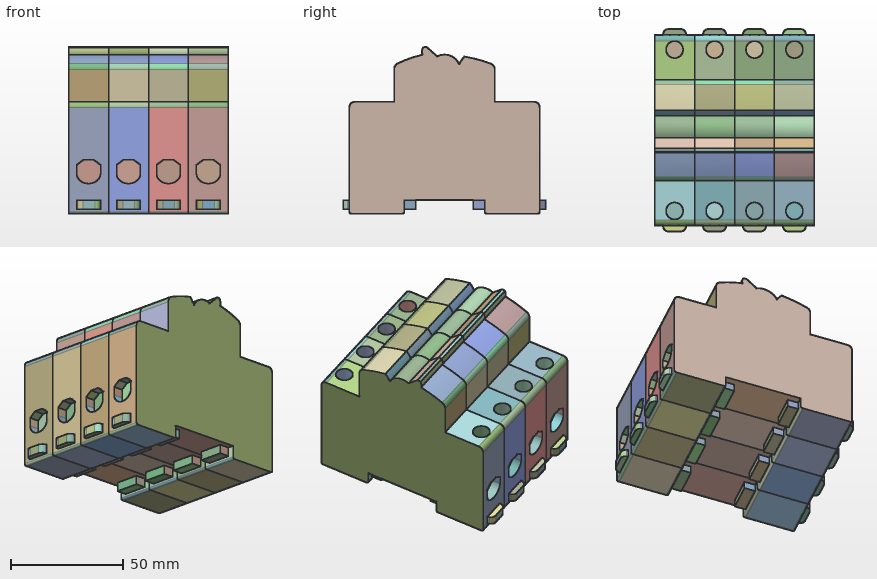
import cadquery as cq

MODULE_COUNT = 4
MODULE_PITCH = 17.8

BASE_LENGTH = 84.9
BASE_HEIGHT = 49.95
SHOULDER_RADIUS = 2.5
FOOT_RADIUS = 1.0
RAIL_SLOT_LENGTH = 35.7
RAIL_SLOT_DEPTH = 6.05

HEAD_HALF_LENGTH = 22.5
HEAD_CORNER_Z = 66.2
HEAD_RADIUS = 3.0
REAR_CROWN_MID = (15.7, 68.55)
NOTCH_CREST = (8.85, 70.1)
NOTCH_FLANK_MID = (7.5, 68.4)
NOTCH_ROOT = (6.5, 66.7)
DIAL_MID = (3.4, 70.1)
LEVER_ROOT = (-3.25, 70.2)
LEVER_TIP = (-8.0, 74.4)
LEVER_TOP_MID = (-8.85, 74.3)
LEVER_NOSE = (-9.6, 74.1)
LEVER_FACE_MID = (-10.1, 72.2)
LEVER_HEEL = (-9.8, 70.9)
FRONT_CROWN_MID = (-15.7, 69.2)

SCREW_DIAMETER = 7.6
SCREW_Y = 35.95
SCREW_DEPTH = 9

WIRE_HALF_WIDTH = 5.3
WIRE_TOP_HALF_WIDTH = 2.2
WIRE_TOP_Z = 24.1
WIRE_CORNER_Z = 21.8
WIRE_AXIS_Z = 18.0
WIRE_BOTTOM_Z = 13.5
WIRE_DEPTH = 5.0

TOTAL_LENGTH = 90.3
TAB_BASE_HALF_WIDTH = 5.3
TAB_TIP_HALF_WIDTH = 4.5
TAB_TIP_RADIUS = 2.5
HOOK_WIDTH = 12.0
HOOK_REACH = 5.1
CLIP_BOTTOM_Z = 2.0
CLIP_HEIGHT = RAIL_SLOT_DEPTH - CLIP_BOTTOM_Z


def make_base():
    """Block with rounded shoulders and a slot underneath for the mounting rail."""
    base = cq.Workplane("XY").box(MODULE_PITCH, BASE_LENGTH, BASE_HEIGHT, centered=(True, True, False))
    slot = cq.Workplane("XY").box(
        MODULE_PITCH, RAIL_SLOT_LENGTH, RAIL_SLOT_DEPTH, centered=(True, True, False)
    )
    base = base.cut(slot)
    base = base.edges("|X and >Z").fillet(SHOULDER_RADIUS)
    return base.edges("|X and <Z").fillet(FOOT_RADIUS)


def make_head():
    """Raised head with curved crowns, a V notch, the round dial and the lever."""
    rear_corner = (HEAD_HALF_LENGTH, HEAD_CORNER_Z)
    front_corner = (-HEAD_HALF_LENGTH, HEAD_CORNER_Z)
    head = (
        cq.Workplane("YZ")
        .moveTo(HEAD_HALF_LENGTH, BASE_HEIGHT)
        .lineTo(*rear_corner)
        .threePointArc(REAR_CROWN_MID, NOTCH_CREST)
        .threePointArc(NOTCH_FLANK_MID, NOTCH_ROOT)
        .threePointArc(DIAL_MID, LEVER_ROOT)
        .lineTo(*LEVER_TIP)
        .threePointArc(LEVER_TOP_MID, LEVER_NOSE)
        .threePointArc(LEVER_FACE_MID, LEVER_HEEL)
        .threePointArc(FRONT_CROWN_MID, front_corner)
        .lineTo(-HEAD_HALF_LENGTH, BASE_HEIGHT)
        .close()
        .extrude(MODULE_PITCH / 2, both=True)
    )
    for y, z in (rear_corner, front_corner):
        head = head.edges(cq.NearestToPointSelector((0, y, z))).fillet(HEAD_RADIUS)
    return head


def make_screw_hole():
    """Cutter for the blind screw hole in the front shoulder."""
    return (
        cq.Workplane("XY", origin=(0, -SCREW_Y, BASE_HEIGHT - SCREW_DEPTH))
        .circle(SCREW_DIAMETER / 2)
        .extrude(SCREW_DEPTH)
    )


def make_wire_opening():
    """Cutter for the front wire opening: chamfered at the top, half an ellipse below."""
    opening = (
        cq.Workplane("XZ", origin=(0, -BASE_LENGTH / 2, 0))
        .moveTo(-WIRE_HALF_WIDTH, WIRE_AXIS_Z)
        .lineTo(-WIRE_HALF_WIDTH, WIRE_CORNER_Z)
        .lineTo(-WIRE_TOP_HALF_WIDTH, WIRE_TOP_Z)
        .lineTo(WIRE_TOP_HALF_WIDTH, WIRE_TOP_Z)
        .lineTo(WIRE_HALF_WIDTH, WIRE_CORNER_Z)
        .lineTo(WIRE_HALF_WIDTH, WIRE_AXIS_Z)
        .close()
        .extrude(-WIRE_DEPTH)
    )
    bottom = (
        cq.Workplane("XZ", origin=(0, -BASE_LENGTH / 2, WIRE_AXIS_Z))
        .ellipse(WIRE_HALF_WIDTH, WIRE_AXIS_Z - WIRE_BOTTOM_Z)
        .extrude(-WIRE_DEPTH)
    )
    return opening.union(bottom)


def make_tab():
    """Tapered tab with rounded corners that sticks out of the front face."""
    face_y = -BASE_LENGTH / 2
    tip_y = -TOTAL_LENGTH / 2
    return (
        cq.Workplane("XY", origin=(0, 0, CLIP_BOTTOM_Z))
        .moveTo(-TAB_BASE_HALF_WIDTH, face_y)
        .lineTo(-TAB_TIP_HALF_WIDTH, tip_y)
        .lineTo(TAB_TIP_HALF_WIDTH, tip_y)
        .lineTo(TAB_BASE_HALF_WIDTH, face_y)
        .close()
        .extrude(CLIP_HEIGHT)
        .faces("<Y")
        .edges("|Z")
        .fillet(TAB_TIP_RADIUS)
    )


def make_hook():
    """Rectangular hook that reaches from the front foot into the rail slot."""
    return cq.Workplane("XY", origin=(0, -RAIL_SLOT_LENGTH / 2, CLIP_BOTTOM_Z)).box(
        HOOK_WIDTH, HOOK_REACH, CLIP_HEIGHT, centered=(True, False, False)
    )


def make_module():
    """One complete module, centred on X, with the same details at both ends."""
    module = make_base().union(make_head())
    for cutter in (make_screw_hole(), make_wire_opening()):
        module = module.cut(cutter).cut(cutter.mirror("XZ"))
    for clip in (make_tab(), make_hook()):
        module = module.union(clip).union(clip.mirror("XZ"))
    return module


module = make_module()
modules = []
for index in range(MODULE_COUNT):
    x = (index - (MODULE_COUNT - 1) / 2) * MODULE_PITCH
    modules.append(module.translate((x, 0, 0)).val())

result = cq.Compound.makeCompound(modules)